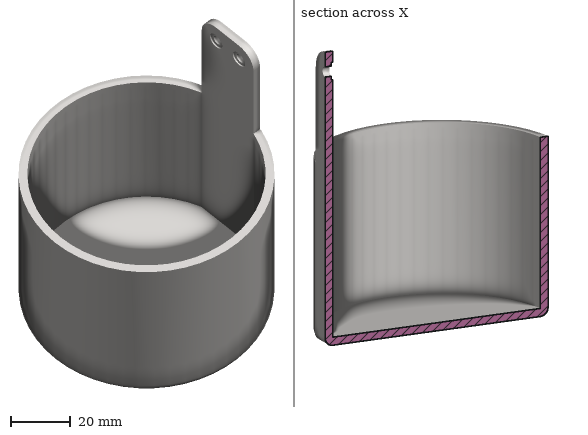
import cadquery as cq
import math

outer_radius = 43.0
wall = 3.0
floor_thickness = wall
cup_height = 62.8
bottom_fillet = 3.0
back_face_y = 40.9

total_height = 103.0
tab_width = 24.9
tab_corner_radius = 7.0

hole_diameter = 3.4
counterbore_diameter = 6.0
counterbore_depth = 0.5
hole_spacing = 11.0
hole_drop = 7.0

inner_radius = outer_radius - wall
inner_face_y = back_face_y - wall


def flattened_cylinder(radius, flat_y, bottom_z, top_z):
    """Upright cylinder on the Z axis, cut off flat at y = flat_y."""
    half_chord = math.sqrt(radius**2 - flat_y**2)
    return (
        cq.Workplane("XY", origin=(0, 0, bottom_z))
        .moveTo(-half_chord, flat_y)
        .threePointArc((0, -radius), (half_chord, flat_y))
        .close()
        .extrude(top_z - bottom_z)
    )


def make_cup():
    body = flattened_cylinder(outer_radius, back_face_y, 0, cup_height)
    body = body.faces("<Z").edges().fillet(bottom_fillet)
    cavity = flattened_cylinder(inner_radius, inner_face_y, floor_thickness, cup_height)
    return body.cut(cavity)


def make_tab():
    """Plate standing on the rim, flush with the cup's flat back wall."""
    plate = (
        cq.Workplane("XY", origin=(0, (inner_face_y + back_face_y) / 2, cup_height))
        .box(tab_width, wall, total_height - cup_height, centered=(True, True, False))
        .edges("|Y and >Z")
        .fillet(tab_corner_radius)
    )
    hole_z = total_height - hole_drop
    return (
        cq.Workplane("XZ", origin=(0, inner_face_y, hole_z))
        .add(plate)
        .pushPoints([(-hole_spacing / 2, 0), (hole_spacing / 2, 0)])
        .cboreHole(hole_diameter, counterbore_diameter, counterbore_depth)
    )


result = make_cup().union(make_tab(), clean=False)